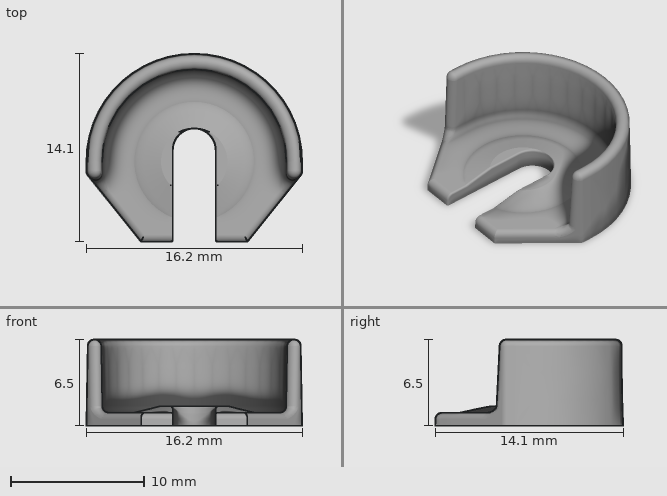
import cadquery as cq
import math

height = 6.5
rim_radius = 8.0
wall_thickness = 1.0
floor_thickness = 1.0
front_distance = 6.0
front_half_width = 4.0
corner_y = -0.88
draft_angle = 1.0
edge_radius = 0.5

cone_base_radius = 4.5
cone_top_radius = 2.5
cone_height = 0.5

slot_radius = 1.6
slot_center_y = 0.89
slot_edge_radius = 0.15

margin = 0.1

draft_slope = math.tan(math.radians(draft_angle))
bottom_radius = rim_radius + height * draft_slope
front_y = -front_distance - floor_thickness * draft_slope
pocket_radius = rim_radius - wall_thickness - (height - floor_thickness) * draft_slope


def make_body():
    """Drafted block: half round at the back, tapering to a narrow front."""
    body = (
        cq.Workplane("XY")
        .moveTo(bottom_radius, 0)
        .threePointArc((0, bottom_radius), (-bottom_radius, 0))
        .lineTo(-bottom_radius, corner_y)
        .lineTo(-front_half_width, front_y)
        .lineTo(front_half_width, front_y)
        .lineTo(bottom_radius, corner_y)
        .close()
        .extrude(height, taper=draft_angle)
    )
    corner_zone = cq.selectors.BoxSelector(
        (-bottom_radius - margin, corner_y - margin, height / 4),
        (bottom_radius + margin, corner_y + margin, 3 * height / 4),
    )
    return body.edges(corner_zone).fillet(edge_radius)


def make_pocket():
    """Drafted U shape, open to the front, that leaves the floor and the wall."""
    open_y = 2 * front_y
    return (
        cq.Workplane("XY", origin=(0, 0, floor_thickness))
        .moveTo(pocket_radius, 0)
        .threePointArc((0, pocket_radius), (-pocket_radius, 0))
        .lineTo(-pocket_radius, open_y)
        .lineTo(pocket_radius, open_y)
        .close()
        .extrude(height, taper=-draft_angle)
    )


def round_shell_edges(part):
    """Round the floor's whole outline together with the wall ends, then the rim."""
    floor_outline = part.faces("<Z[1]").edges()
    wall_end_zone = cq.selectors.BoxSelector(
        (-bottom_radius, front_y / 2, height / 2),
        (bottom_radius, 2 * corner_y, height - wall_thickness),
    )
    wall_ends = part.edges(wall_end_zone)
    part = floor_outline.add(wall_ends).fillet(edge_radius)
    return part.faces(">Z").edges().fillet(edge_radius)


def make_cone():
    """Low cone on the floor with a flat top, revolved from its half profile."""
    return (
        cq.Workplane("YZ", origin=(0, 0, floor_thickness))
        .lineTo(-cone_base_radius, 0)
        .lineTo(-cone_top_radius, cone_height)
        .lineTo(0, cone_height)
        .close()
        .revolve(360, (0, 0, 0), (0, 1, 0))
    )


def make_slot():
    """Straight slot with a round end, open to the front."""
    open_y = 2 * front_y
    return (
        cq.Workplane("XY")
        .moveTo(slot_radius, slot_center_y)
        .threePointArc((0, slot_center_y + slot_radius), (-slot_radius, slot_center_y))
        .lineTo(-slot_radius, open_y)
        .lineTo(slot_radius, open_y)
        .close()
        .extrude(height)
    )


def round_slot_edges(part):
    """Round the slot's upper edge and its corners at the front."""
    wall_zone = cq.selectors.BoxSelector(
        (-slot_radius - margin, front_y, margin),
        (slot_radius + margin, slot_center_y + slot_radius, floor_thickness - margin),
    )
    slot_walls = part.faces(wall_zone)
    return slot_walls.edges("not (|Z or <Z)").fillet(slot_edge_radius)


body = make_body().cut(make_pocket())
body = round_shell_edges(body)
body = body.union(make_cone()).cut(make_slot())
result = round_slot_edges(body)